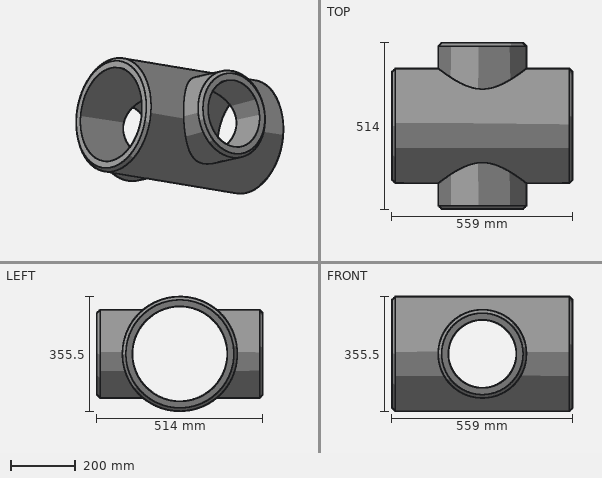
import cadquery as cq

run_length = 559.0
run_outer_diameter = 355.5
run_bore_diameter = 293.0

branch_span = 514.0
branch_outer_diameter = 273.0
branch_bore_diameter = 209.5

end_bevel = 10.5


def centred_cylinder(plane, diameter, length):
    """Solid cylinder centred on the origin, along the normal of the plane."""
    return cq.Workplane(plane).circle(diameter / 2).extrude(length / 2, both=True)


def bevelled_cylinder(plane, diameter, length):
    """Centred cylinder with both end rims bevelled."""
    return centred_cylinder(plane, diameter, length).faces("%PLANE").chamfer(end_bevel)


run = bevelled_cylinder("YZ", run_outer_diameter, run_length)
branches = bevelled_cylinder("XZ", branch_outer_diameter, branch_span)

run_bore = centred_cylinder("YZ", run_bore_diameter, run_length)
branch_bore = centred_cylinder("XZ", branch_bore_diameter, branch_span)

result = run.union(branches).cut(run_bore).cut(branch_bore)